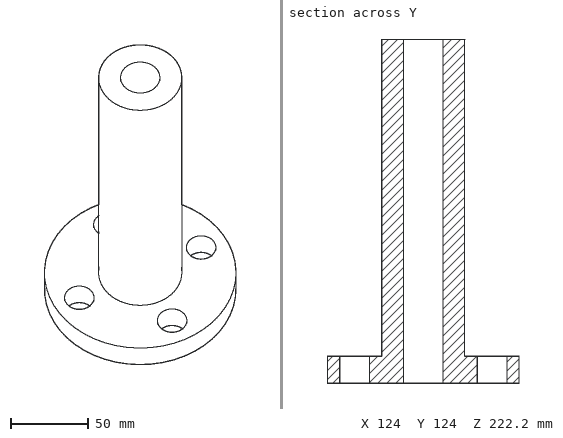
import cadquery as cq

flange_diameter = 123.95
flange_thickness = 17.5

overall_height = 222.25
neck_diameter = 53.85

bore_diameter = 25.4

bolt_hole_count = 4
bolt_hole_diameter = 19.05
bolt_circle_diameter = 88.9


def make_flange():
    return cq.Workplane("XY").circle(flange_diameter / 2).extrude(flange_thickness)


def make_neck():
    return cq.Workplane("XY").circle(neck_diameter / 2).extrude(overall_height)


def make_bore():
    return cq.Workplane("XY").circle(bore_diameter / 2).extrude(overall_height)


def make_bolt_holes():
    return (
        cq.Workplane("XY")
        .polarArray(bolt_circle_diameter / 2, 0, 360, bolt_hole_count)
        .circle(bolt_hole_diameter / 2)
        .extrude(flange_thickness)
    )


result = make_flange().union(make_neck()).cut(make_bore()).cut(make_bolt_holes())